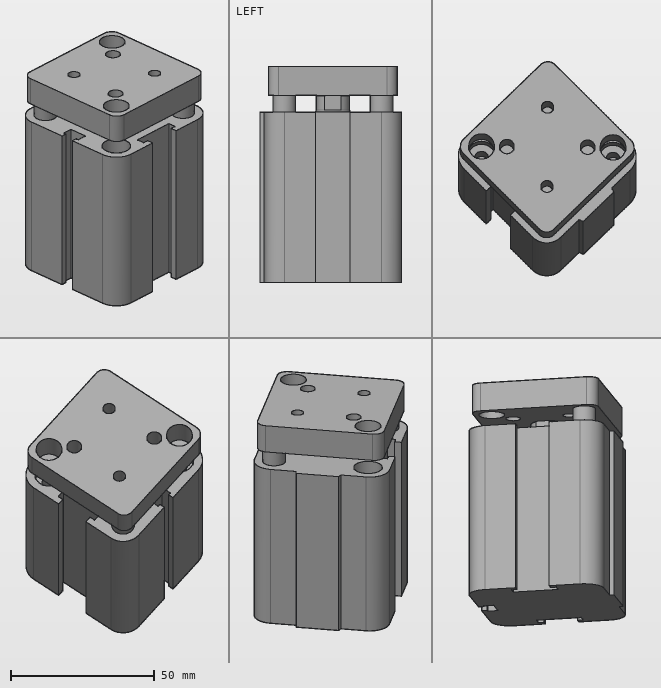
import cadquery as cq

TOTAL_HEIGHT = 75.5
HOUSING_WIDTH = 48.0
HOUSING_HEIGHT = 59.5
HOUSING_CORNER_RADIUS = 7.0

TONGUE_BASE_WIDTH = 16.0
TONGUE_TOP_WIDTH = 15.0
TONGUE_HEIGHT = 1.5

SIDE_SLOT_DEPTH = 5.35
SIDE_SLOT_MOUTH_WIDTH = 12.0
SIDE_SLOT_INNER_WIDTH = 16.0
SIDE_SLOT_LIP = 2.4
FRONT_SLOT_DEPTH = 5.6
FRONT_SLOT_MOUTH_WIDTH = 5.0
FRONT_SLOT_INNER_WIDTH = 6.95
FRONT_SLOT_LIP = 2.0

MOUNT_OFFSET = 16.2
MOUNT_COUNTERBORE_DIAMETER = 10.0
MOUNT_COUNTERBORE_DEPTH = 5.5
MOUNT_HOLE_DIAMETER = 4.9
MOUNT_HOLE_DEPTH = 14.6

PLATE_WIDTH = 45.0
PLATE_THICKNESS = 10.1
PLATE_CORNER_RADIUS = 3.55
PLATE_GAP = TOTAL_HEIGHT - HOUSING_HEIGHT - PLATE_THICKNESS
ACCESS_HOLE_DIAMETER = 9.0
FIXING_HOLE_OFFSET = 10.0
DOWEL_HOLE_DIAMETER = 5.1
TAPPED_HOLE_DIAMETER = 4.2

GUIDE_ROD_DIAMETER = 8.0
GUIDE_ROD_OFFSET = 17.0
PISTON_ROD_DIAMETER = 12.0
PISTON_COLLAR_HEIGHT = 0.8
PISTON_COLLAR_TAPER_HEIGHT = 0.5
PISTON_NECK_DIAMETER = 11.7
PISTON_NECK_CHAMFER = 0.2
WRENCH_FLAT_WIDTH = 10.2


def rising_diagonal(offset):
    """Points in the (-X, -Y) and (+X, +Y) corners."""
    return [(-offset, -offset), (offset, offset)]


def falling_diagonal(offset):
    """Points in the (-X, +Y) and (+X, -Y) corners."""
    return [(-offset, offset), (offset, -offset)]


def rounded_block(width, height, corner_radius, bottom):
    """Square block with rounded vertical edges."""
    block = cq.Workplane("XY").workplane(offset=bottom).rect(width, width).extrude(height)
    return block.edges("|Z").fillet(corner_radius)


def tongue():
    """Rail with sloping flanks along the +Y face."""
    base_y = HOUSING_WIDTH / 2
    top_y = base_y + TONGUE_HEIGHT
    outline = [
        (-TONGUE_BASE_WIDTH / 2, base_y),
        (TONGUE_BASE_WIDTH / 2, base_y),
        (TONGUE_TOP_WIDTH / 2, top_y),
        (-TONGUE_TOP_WIDTH / 2, top_y),
    ]
    return cq.Workplane("XY").polyline(outline).close().extrude(HOUSING_HEIGHT)


def t_slot(depth, mouth_width, inner_width, lip, angle):
    """Full-height T-slot cutter for the -Y face, turned about Z by the angle."""
    face_y = -HOUSING_WIDTH / 2
    mouth = cq.Workplane("XY").box(mouth_width, depth, HOUSING_HEIGHT, centered=(True, False, False))
    undercut = (
        cq.Workplane("XY")
        .box(inner_width, depth - lip, HOUSING_HEIGHT, centered=(True, False, False))
        .translate((0, lip, 0))
    )
    cutter = mouth.union(undercut).translate((0, face_y, 0))
    return cutter.rotate((0, 0, 0), (0, 0, 1), angle)


def make_housing():
    housing = rounded_block(HOUSING_WIDTH, HOUSING_HEIGHT, HOUSING_CORNER_RADIUS, 0)
    housing = housing.union(tongue())

    front_slot = t_slot(FRONT_SLOT_DEPTH, FRONT_SLOT_MOUTH_WIDTH, FRONT_SLOT_INNER_WIDTH, FRONT_SLOT_LIP, 0)
    housing = housing.cut(front_slot)
    for angle in (-90, 90):
        side_slot = t_slot(SIDE_SLOT_DEPTH, SIDE_SLOT_MOUTH_WIDTH, SIDE_SLOT_INNER_WIDTH, SIDE_SLOT_LIP, angle)
        housing = housing.cut(side_slot)

    top = cq.Workplane("XY").workplane(offset=HOUSING_HEIGHT)
    mounts = top.pushPoints(falling_diagonal(MOUNT_OFFSET))
    counterbores = mounts.circle(MOUNT_COUNTERBORE_DIAMETER / 2).extrude(-MOUNT_COUNTERBORE_DEPTH)
    holes = mounts.circle(MOUNT_HOLE_DIAMETER / 2).extrude(-MOUNT_HOLE_DEPTH)
    return housing.cut(counterbores).cut(holes)


def make_plate():
    """Yoke plate with its access, dowel and tapped holes, all through."""
    bottom = HOUSING_HEIGHT + PLATE_GAP
    plate = rounded_block(PLATE_WIDTH, PLATE_THICKNESS, PLATE_CORNER_RADIUS, bottom)
    hole_sets = [
        (falling_diagonal(MOUNT_OFFSET), ACCESS_HOLE_DIAMETER),
        (falling_diagonal(FIXING_HOLE_OFFSET), DOWEL_HOLE_DIAMETER),
        (rising_diagonal(FIXING_HOLE_OFFSET), TAPPED_HOLE_DIAMETER),
    ]
    for points, diameter in hole_sets:
        holes = (
            cq.Workplane("XY")
            .workplane(offset=bottom)
            .pushPoints(points)
            .circle(diameter / 2)
            .extrude(PLATE_THICKNESS)
        )
        plate = plate.cut(holes)
    return plate


def make_piston_rod():
    """Rod with a short tapered collar and a neck that has two wrench flats facing -X and +X."""
    shoulder = (PISTON_ROD_DIAMETER - PISTON_NECK_DIAMETER) / 2
    collar = (
        cq.Workplane("XY")
        .workplane(offset=HOUSING_HEIGHT)
        .circle(PISTON_ROD_DIAMETER / 2)
        .extrude(PISTON_COLLAR_HEIGHT)
        .faces(">Z")
        .chamfer(PISTON_COLLAR_TAPER_HEIGHT, shoulder)
    )
    neck_height = PLATE_GAP - PISTON_COLLAR_HEIGHT
    neck_start = cq.Workplane("XY").workplane(offset=HOUSING_HEIGHT + PISTON_COLLAR_HEIGHT)
    neck = neck_start.circle(PISTON_NECK_DIAMETER / 2).extrude(neck_height)
    neck = neck.faces(">Z").chamfer(PISTON_NECK_CHAMFER)
    flats = neck_start.rect(WRENCH_FLAT_WIDTH, PISTON_ROD_DIAMETER).extrude(neck_height)
    return collar.union(neck.intersect(flats))


def make_carriage():
    """Moving body: yoke plate, two guide rods and the piston rod, resting on the housing top."""
    guide_rods = (
        cq.Workplane("XY")
        .workplane(offset=HOUSING_HEIGHT)
        .pushPoints(rising_diagonal(GUIDE_ROD_OFFSET))
        .circle(GUIDE_ROD_DIAMETER / 2)
        .extrude(PLATE_GAP)
    )
    return make_plate().union(guide_rods).union(make_piston_rod())


housing = make_housing()
carriage = make_carriage()

result = cq.Compound.makeCompound([housing.val(), carriage.val()])